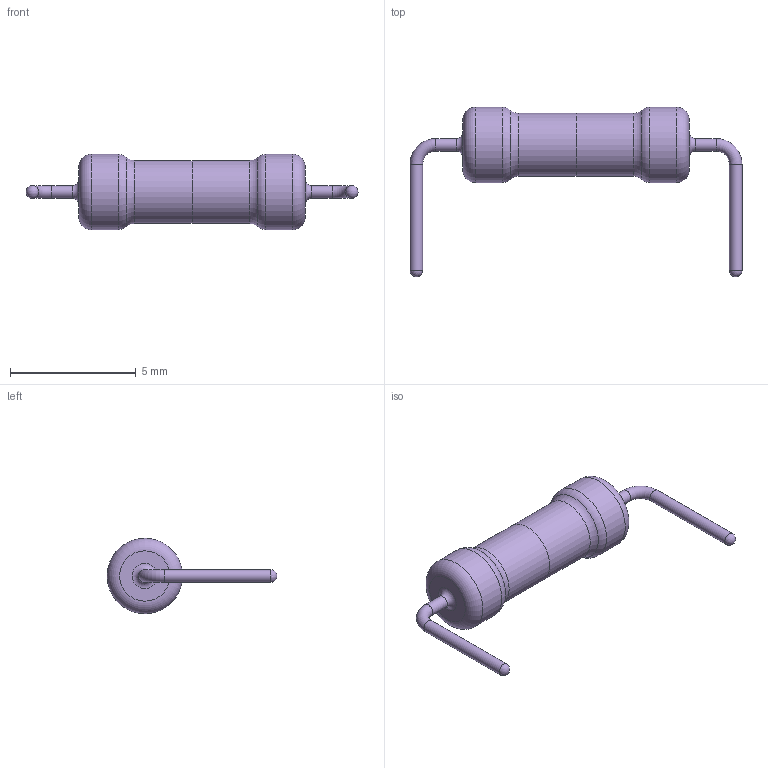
import cadquery as cq
import math


body_length = 9.0
cap_diameter = 3.0
waist_diameter = 2.5
end_rounding = 0.5
shoulder_start = 2.94
shoulder_radius = 0.5

lead_diameter = 0.5
lead_spacing = 12.7
lead_reach = 5.25
bend_radius = 0.78
root_fillet = 0.25

half_body = body_length / 2
half_spacing = lead_spacing / 2
cap_radius = cap_diameter / 2
waist_radius = waist_diameter / 2
lead_radius = lead_diameter / 2
diagonal = math.sqrt(0.5)


def make_body():
    """Revolve the half profile of both caps, the waist and the lead roots about X."""
    half_step = (cap_radius - waist_radius) / 2
    arc_angle = math.acos(1 - half_step / shoulder_radius)
    arc_width = shoulder_radius * math.sin(arc_angle)
    arc_mid_width = shoulder_radius * math.sin(arc_angle / 2)
    arc_mid_drop = shoulder_radius * (1 - math.cos(arc_angle / 2))
    shoulder_middle = shoulder_start - arc_width
    shoulder_end = shoulder_middle - arc_width

    root_end = half_body + root_fillet
    root_outer_radius = lead_radius + root_fillet
    root_mid = (
        root_end - root_fillet * diagonal,
        root_outer_radius - root_fillet * diagonal,
    )
    rim_start = half_body - end_rounding
    rim_center_radius = cap_radius - end_rounding
    rim_mid = (
        rim_start + end_rounding * diagonal,
        rim_center_radius + end_rounding * diagonal,
    )

    half = (
        cq.Workplane("XY")
        .moveTo(0, 0)
        .lineTo(root_end, 0)
        .lineTo(root_end, lead_radius)
        .threePointArc(root_mid, (half_body, root_outer_radius))
        .lineTo(half_body, rim_center_radius)
        .threePointArc(rim_mid, (rim_start, cap_radius))
        .lineTo(shoulder_start, cap_radius)
        .threePointArc(
            (shoulder_start - arc_mid_width, cap_radius - arc_mid_drop),
            (shoulder_middle, cap_radius - half_step),
        )
        .threePointArc(
            (shoulder_end + arc_mid_width, waist_radius + arc_mid_drop),
            (shoulder_end, waist_radius),
        )
        .lineTo(0, waist_radius)
        .close()
        .revolve(360, (0, 0, 0), (1, 0, 0))
    )
    return half.union(half.mirror("YZ"))


def make_lead():
    """Bent round wire on the +X side, ending in a hemispherical tip."""
    leg_end = lead_reach - lead_radius
    bend_mid = (
        half_spacing - bend_radius * (1 - diagonal),
        -bend_radius * (1 - diagonal),
    )
    path = (
        cq.Workplane("XY")
        .moveTo(half_body, 0)
        .lineTo(half_spacing - bend_radius, 0)
        .threePointArc(bend_mid, (half_spacing, -bend_radius))
        .lineTo(half_spacing, -leg_end)
    )
    wire = cq.Workplane("YZ", origin=(half_body, 0, 0)).circle(lead_radius).sweep(path)
    tip = cq.Workplane("XY").sphere(lead_radius).translate((half_spacing, -leg_end, 0))
    return wire.union(tip)


lead = make_lead()
result = make_body().union(lead).union(lead.mirror("YZ"))